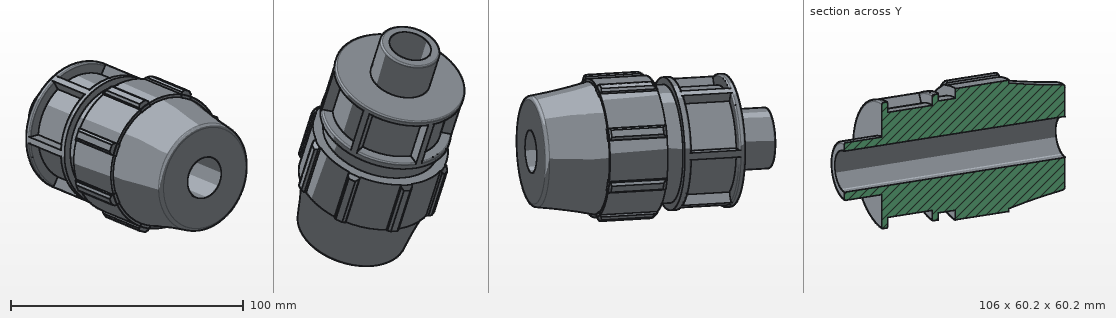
import cadquery as cq

collar_start = 18.0
collar_end = 45.2
nut_start = 53.2
nut_end = 79.0
total_length = 106.0

bore_diameter = 18.51
spigot_diameter = 26.44
spigot_edge_fillet = 0.8

collar_diameter = 57.6
collar_floor_diameter = 48.0
left_flange_width = 2.9
right_flange_width = 3.0
flange_fillet = 0.7
collar_rib_count = 6
collar_rib_width = 3.0

neck_diameter = 51.2

nut_diameter = 60.0
grip_count = 8
grip_first_angle = 180.0 / grip_count
grip_top = 31.95
grip_width = 5.3
grip_corner_chamfer = 1.1
grip_start_slope_base = 30.3
grip_start_slope_length = 1.8
grip_end_setback = 0.7
grip_end_slope = 0.31

tail_start_radius = 28.7
tail_middle_radius = 25.95
tail_end_radius = 24.0
tail_end_fillet = 1.6


def stage(start, end, diameter):
    """Solid cylinder along X between two stations."""
    return cq.Workplane("YZ").workplane(offset=start).circle(diameter / 2).extrude(end - start)


def around_axis(shape, count, first_angle):
    """Union of equally spaced copies of a shape turned about the X axis."""
    copies = cq.Workplane("XY")
    for index in range(count):
        angle = first_angle + index * 360.0 / count
        copies = copies.add(shape.rotate((0, 0, 0), (1, 0, 0), angle))
    return copies.combine()


def make_spigot():
    return stage(0, collar_start, spigot_diameter).faces("<X").edges().fillet(spigot_edge_fillet)


def make_collar():
    left_flange = stage(collar_start, collar_start + left_flange_width, collar_diameter)
    left_flange = left_flange.edges("%CIRCLE").fillet(flange_fillet)
    right_flange = stage(collar_end - right_flange_width, collar_end, collar_diameter)
    right_flange = right_flange.faces("<X").edges().fillet(flange_fillet)
    floor = stage(collar_start, collar_end, collar_floor_diameter)

    rib_start = collar_start + flange_fillet
    rib_length = collar_end - rib_start
    rib_block = cq.Workplane("XY").box(
        rib_length, collar_diameter, collar_rib_width, centered=(False, False, True)
    ).translate((rib_start, 0, 0))
    ribs = around_axis(rib_block, collar_rib_count, 0)
    ribs = ribs.intersect(stage(rib_start, collar_end, collar_diameter))
    return floor.union(left_flange).union(right_flange).union(ribs)


def make_grip():
    """One grip rib on the +Z side: chamfered cross-section with sloped ends."""
    half_width = grip_width / 2
    top_half_width = half_width - grip_corner_chamfer
    shoulder = grip_top - grip_corner_chamfer
    root = neck_diameter / 2
    top_end = nut_end - grip_end_setback
    root_end = top_end + grip_end_slope * (grip_top - root)
    section = (
        cq.Workplane("YZ")
        .workplane(offset=nut_start)
        .moveTo(-half_width, root)
        .lineTo(half_width, root)
        .lineTo(half_width, shoulder)
        .lineTo(top_half_width, grip_top)
        .lineTo(-top_half_width, grip_top)
        .lineTo(-half_width, shoulder)
        .close()
        .extrude(root_end - nut_start)
    )
    side_outline = (
        cq.Workplane("XZ")
        .moveTo(nut_start, root)
        .lineTo(nut_start, grip_start_slope_base)
        .lineTo(nut_start + grip_start_slope_length, grip_top)
        .lineTo(top_end, grip_top)
        .lineTo(root_end, root)
        .close()
        .extrude(half_width, both=True)
    )
    return section.intersect(side_outline)


def make_nut():
    grips = around_axis(make_grip(), grip_count, grip_first_angle)
    return stage(nut_start, nut_end, nut_diameter).union(grips)


def make_tail():
    tail = (
        cq.Workplane("XY")
        .moveTo(nut_end, 0)
        .lineTo(nut_end, tail_start_radius)
        .threePointArc(
            ((nut_end + total_length) / 2, tail_middle_radius),
            (total_length, tail_end_radius),
        )
        .lineTo(total_length, 0)
        .close()
        .revolve(360, (0, 0, 0), (1, 0, 0))
    )
    return tail.faces(">X").edges().fillet(tail_end_fillet)


body = make_spigot().union(make_collar())
body = body.union(stage(collar_end, nut_start, neck_diameter))
body = body.union(make_nut()).union(make_tail())
result = body.cut(stage(0, total_length, bore_diameter))